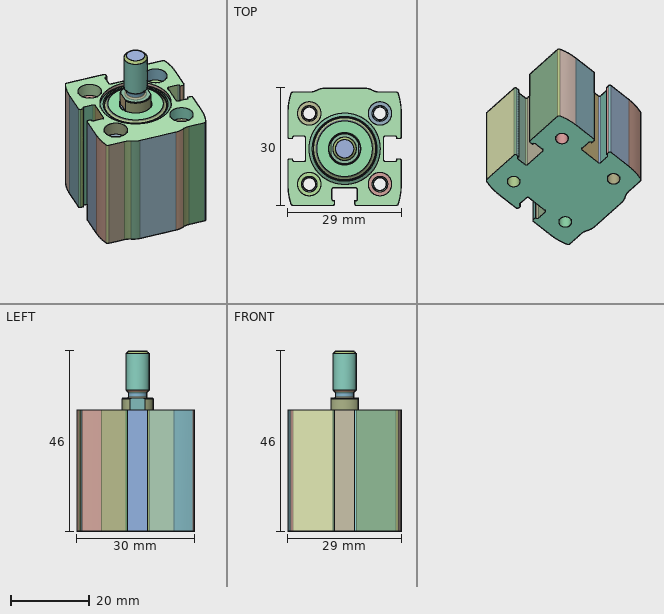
import cadquery as cq
import math

total_height = 46.0
housing_height = 31.0

housing_width = 29.0
housing_half = housing_width / 2
side_flat_half = 9.25
side_draw_in = 0.9
corner_radius = 0.6
back_overhang = 1.0
back_flat_half = 4.9
back_foot_half = 8.85
back_crest_radius = 4.6

slot_depth = 4.5
slot_half = 3.2
slot_lip = 1.25
slot_mouth_half = 2.58
slot_mouth_radius = 0.4
slot_corner_radius = 0.35

hole_offset = 9.0
hole_diameter = 3.2
countersink_diameter = 4.0
counterbore_diameter = 6.0
counterbore_depth = 3.5

recess_radius = 18.2 / 2
recess_depth = 0.87
ridge_radius = 8.3
ridge_drop = 0.35
groove_radius = 16.0 / 2
groove_edge_drop = 0.55
groove_depth = 0.8
cover_foot_radius = 7.9
cover_shoulder_radius = 7.3
cover_shoulder_drop = 0.3
cover_face_radius = 7.1
cover_face_drop = 0.2

rod_diameter = 8.0
rod_radius = rod_diameter / 2
rod_flat_width = 7.0
rod_edge_chamfer = 0.2
rod_shoulder_height = 12.0
rod_insert_depth = 9.2
thread_radius = 6.0 / 2
thread_length = 9.95
thread_chamfer = 0.65
neck_radius = 4.7 / 2
neck_fillet = 0.4
neck_cone_fillet = 0.25

flats_end_depth = 0.4
shank_cone_height = 0.28
clearance_diameter = 8.3

shoulder_z = total_height - rod_shoulder_height
rod_bottom_z = housing_height - rod_insert_depth
flats_end_z = housing_height - flats_end_depth
shank_edge_z = flats_end_z - shank_cone_height


def make_block():
    """Square block whose sides curve inwards towards rounded corners."""
    end_half = housing_half - side_draw_in
    quarter = (
        cq.Workplane("XY")
        .lineTo(housing_half, 0)
        .lineTo(housing_half, side_flat_half)
        .tangentArcPoint((end_half, housing_half), relative=False)
        .lineTo(0, housing_half)
        .close()
        .extrude(housing_height)
    )
    half = quarter.union(quarter.mirror("YZ"))
    block = half.union(half.mirror("XZ"))
    return block.edges("|Z").edges(">Y or <Y").fillet(corner_radius)


def make_raised_back():
    """Low crest along the back, running into the block through S-curves."""
    blend_width = back_foot_half - back_flat_half
    blend_angle = 2 * math.atan(back_overhang / blend_width)
    crest_y = housing_half + back_overhang
    inflection_x = back_flat_half + back_crest_radius * math.sin(blend_angle)
    inflection_y = crest_y - back_crest_radius * (1 - math.cos(blend_angle))
    half = (
        cq.Workplane("XY")
        .lineTo(0, crest_y)
        .lineTo(back_flat_half, crest_y)
        .tangentArcPoint((inflection_x, inflection_y), relative=False)
        .tangentArcPoint((back_foot_half, housing_half), relative=False)
        .lineTo(back_foot_half, 0)
        .close()
        .extrude(housing_height)
    )
    return half.union(half.mirror("YZ"))


def make_slot_cutter():
    """T-slot cutter for the front side, with a rounded mouth."""
    front_y = -housing_half
    floor_y = front_y + slot_depth
    lip_y = front_y + slot_lip
    chamber = (
        cq.Workplane("XY")
        .rect(2 * slot_half, floor_y - lip_y)
        .extrude(housing_height)
        .edges("|Z")
        .fillet(slot_corner_radius)
        .translate((0, (floor_y + lip_y) / 2, 0))
    )
    flare_half = slot_mouth_half + slot_mouth_radius
    flare_y = front_y + slot_mouth_radius
    mouth = (
        cq.Workplane("XY")
        .moveTo(slot_mouth_half, floor_y)
        .lineTo(slot_mouth_half, flare_y)
        .tangentArcPoint((flare_half, front_y), relative=False)
        .lineTo(-flare_half, front_y)
        .radiusArc((-slot_mouth_half, flare_y), -slot_mouth_radius)
        .lineTo(-slot_mouth_half, floor_y)
        .close()
        .extrude(housing_height)
    )
    return chamber.union(mouth)


def make_mounting_hole():
    """Through hole with a counterbore and a countersink at its floor."""
    floor_z = housing_height - counterbore_depth
    hole_radius = hole_diameter / 2
    sink_radius = countersink_diameter / 2
    bore_radius = counterbore_diameter / 2
    return (
        cq.Workplane("XZ")
        .lineTo(hole_radius, 0)
        .lineTo(hole_radius, floor_z - (sink_radius - hole_radius))
        .lineTo(sink_radius, floor_z)
        .lineTo(bore_radius, floor_z)
        .lineTo(bore_radius, housing_height)
        .lineTo(0, housing_height)
        .close()
        .revolve(360, (0, 0), (0, 1))
    )


def make_top_recess():
    """Recess in the top face that leaves a ridge ring and the cover disc."""
    top = housing_height
    return (
        cq.Workplane("XZ")
        .moveTo(0, top)
        .lineTo(recess_radius, top)
        .lineTo(recess_radius, top - recess_depth)
        .lineTo(ridge_radius, top - ridge_drop)
        .lineTo(groove_radius, top - groove_edge_drop)
        .lineTo(groove_radius, top - groove_depth)
        .lineTo(cover_foot_radius, top - groove_depth)
        .lineTo(cover_shoulder_radius, top - cover_shoulder_drop)
        .lineTo(cover_face_radius, top - cover_face_drop)
        .lineTo(0, top - cover_face_drop)
        .close()
        .revolve(360, (0, 0), (0, 1))
    )


def make_rod_bore():
    """Blind bore that fits the rod shank, with a clearance at its mouth."""
    bore = (
        cq.Workplane("XY", origin=(0, 0, rod_bottom_z))
        .circle(rod_radius)
        .extrude(rod_insert_depth)
    )
    clearance = (
        cq.Workplane("XY", origin=(0, 0, shank_edge_z))
        .circle(clearance_diameter / 2)
        .extrude(housing_height - shank_edge_z)
    )
    return bore.union(clearance)


def make_housing():
    housing = make_block().union(make_raised_back())
    slot = make_slot_cutter()
    for angle in (-90, 0, 90):
        housing = housing.cut(slot.rotate((0, 0, 0), (0, 0, 1), angle))
    hole = make_mounting_hole()
    for x_side in (-1, 1):
        for y_side in (-1, 1):
            housing = housing.cut(hole.translate((x_side * hole_offset, y_side * hole_offset, 0)))
    return housing.cut(make_top_recess()).cut(make_rod_bore())


def make_rod_end():
    """Part of the rod above the shank: flats, shoulder, neck and thread."""
    thread_bottom_z = total_height - thread_length
    neck_top_z = thread_bottom_z - (thread_radius - neck_radius)
    cone_angle = math.radians(45)
    cone_fillet_run = neck_cone_fillet * math.tan(cone_angle / 2)
    cone_fillet_leg = cone_fillet_run * math.cos(cone_angle)
    turned = (
        cq.Workplane("XZ")
        .moveTo(0, shank_edge_z)
        .lineTo(rod_radius, shank_edge_z)
        .lineTo(rod_radius, shoulder_z - rod_edge_chamfer)
        .lineTo(rod_radius - rod_edge_chamfer, shoulder_z)
        .lineTo(neck_radius + neck_fillet, shoulder_z)
        .tangentArcPoint((neck_radius, shoulder_z + neck_fillet), relative=False)
        .lineTo(neck_radius, neck_top_z - cone_fillet_run)
        .tangentArcPoint((neck_radius + cone_fillet_leg, neck_top_z + cone_fillet_leg), relative=False)
        .lineTo(thread_radius, thread_bottom_z)
        .lineTo(thread_radius, total_height - thread_chamfer)
        .lineTo(thread_radius - thread_chamfer, total_height)
        .lineTo(0, total_height)
        .close()
        .revolve(360, (0, 0), (0, 1))
    )
    between_flats = (
        cq.Workplane("XY", origin=(0, 0, shank_edge_z))
        .rect(rod_flat_width, rod_diameter)
        .extrude(total_height - shank_edge_z)
    )
    return turned.intersect(between_flats)


def make_rod_shank():
    """Round shank inside the housing, with a cone up to the wrench flats."""
    return (
        cq.Workplane("XZ")
        .moveTo(0, rod_bottom_z)
        .lineTo(rod_radius, rod_bottom_z)
        .lineTo(rod_radius, shank_edge_z)
        .lineTo(rod_flat_width / 2, flats_end_z)
        .lineTo(0, flats_end_z)
        .close()
        .revolve(360, (0, 0), (0, 1))
    )


def make_rod():
    return make_rod_shank().union(make_rod_end())


housing = make_housing()
piston_rod = make_rod()
result = cq.Compound.makeCompound([housing.val(), piston_rod.val()])